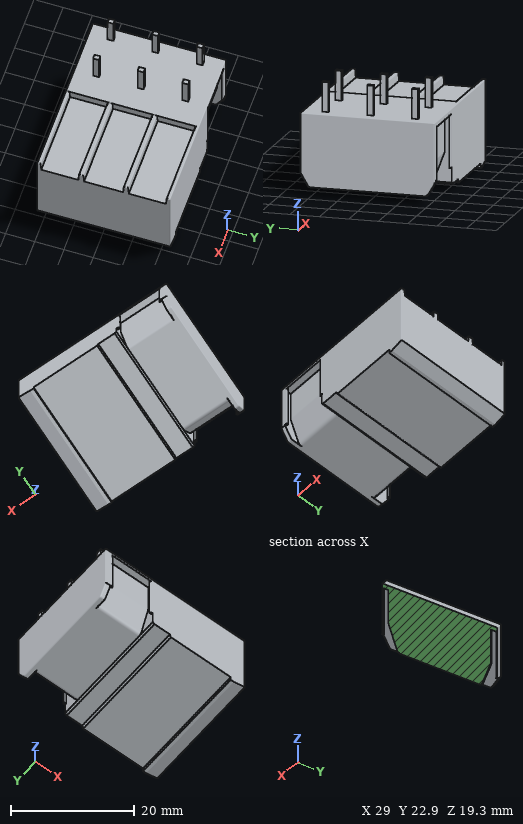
import cadquery as cq
import math

LENGTH = 29.0
WIDTH = 22.85
HEIGHT = 19.28
PIN_LENGTH = 5.0
BODY_TOP = HEIGHT - PIN_LENGTH
HALF_WIDTH = WIDTH / 2
EDGE_RADIUS = 0.2

HEAD_BOTTOM = 1.77
MIDDLE_BOTTOM = 1.42
TAIL_BOTTOM = 0.78
MIDDLE_START = 10.15
MIDDLE_END = 13.35
TAIL_START = 13.57
HOOK_START = 26.0
HOOK_TIP_END = 26.68
HOOK_HEEL_HEIGHT = 0.65

RECESS_START = 1.0
RECESS_END = 9.8
RECESS_TOP = 13.35
LIP_START = 1.5
LIP_END = 9.28
LIP_BOTTOM = 4.3
LIP_THICKNESS = 0.3

CORE_TOP_INSET = 1.25
CORE_BOTTOM_INSET = 3.13
CORE_KNEE_HEIGHT = 6.8
CORE_RADIUS = 0.75

CORNER_WIDTH = 1.42
CORNER_HEIGHT = 2.38
CORNER_RADIUS = 0.5

CHANNEL_START = 14.0
CHANNEL_DEPTH = 1.5
CHANNEL_DRAFT = 4.0
RIB_WIDTH = 0.4
MIDDLE_CHANNEL_WIDTH = 7.25
OUTER_CHANNEL_WIDTH = 6.93
OUTER_CHANNEL_Y = (MIDDLE_CHANNEL_WIDTH + OUTER_CHANNEL_WIDTH) / 2 + RIB_WIDTH

PIN_SIZE_X = 0.78
PIN_SIZE_Y = 1.02
PIN_FIRST_X = 1.95
PIN_PITCH_X = 7.48
PIN_PITCH_Y = 7.63
PIN_ROOT = 0.3


def box(x_range, y_range, z_range):
    """Axis-aligned block given by its limits."""
    size = [end - start for start, end in (x_range, y_range, z_range)]
    return (
        cq.Workplane("XY")
        .box(*size, centered=False)
        .translate((x_range[0], y_range[0], z_range[0]))
    )


def make_housing():
    """Block with the stepped underside and the hook at its far end."""
    outline = [
        (0, BODY_TOP),
        (0, HEAD_BOTTOM),
        (RECESS_END, HEAD_BOTTOM),
        (MIDDLE_START, MIDDLE_BOTTOM),
        (MIDDLE_END, MIDDLE_BOTTOM),
        (TAIL_START, TAIL_BOTTOM),
        (HOOK_START, TAIL_BOTTOM),
        (HOOK_START, 0),
        (HOOK_TIP_END, 0),
        (LENGTH, HOOK_HEEL_HEIGHT),
        (LENGTH, BODY_TOP),
    ]
    return cq.Workplane("XZ").polyline(outline).close().extrude(HALF_WIDTH, both=True)


def make_corner_cutter(side):
    """Wedge that cuts one lower corner off the end wall; side is +1 or -1."""
    outline = [
        (side * HALF_WIDTH, HEAD_BOTTOM),
        (side * HALF_WIDTH, HEAD_BOTTOM + CORNER_HEIGHT),
        (side * (HALF_WIDTH - CORNER_WIDTH), HEAD_BOTTOM),
    ]
    return cq.Workplane("YZ").polyline(outline).close().extrude(RECESS_START)


def make_core():
    """Web left standing between the two recesses."""
    top_half = HALF_WIDTH - CORE_TOP_INSET
    bottom_half = HALF_WIDTH - CORE_BOTTOM_INSET
    outline = [
        (-top_half, RECESS_TOP),
        (-top_half, CORE_KNEE_HEIGHT),
        (-bottom_half, HEAD_BOTTOM),
        (bottom_half, HEAD_BOTTOM),
        (top_half, CORE_KNEE_HEIGHT),
        (top_half, RECESS_TOP),
    ]
    core = (
        cq.Workplane("YZ", origin=(RECESS_START, 0, 0))
        .polyline(outline)
        .close()
        .extrude(RECESS_END - RECESS_START)
    )
    return core.edges("|X").edges("not >Z").fillet(CORE_RADIUS)


def make_channel_cutter(centre_y, width):
    """Drafted channel whose upper edges flare out in a quarter round."""
    half = width / 2
    wall = half - EDGE_RADIUS
    wall_top = BODY_TOP - EDGE_RADIUS
    floor = BODY_TOP - CHANNEL_DEPTH
    floor_half = wall - (wall_top - floor) * math.tan(math.radians(CHANNEL_DRAFT))
    arc_step = EDGE_RADIUS * math.sqrt(0.5)
    return (
        cq.Workplane("YZ", origin=(CHANNEL_START, centre_y, 0))
        .moveTo(-half, BODY_TOP)
        .threePointArc((-half + arc_step, wall_top + arc_step), (-wall, wall_top))
        .lineTo(-floor_half, floor)
        .lineTo(floor_half, floor)
        .lineTo(wall, wall_top)
        .threePointArc((half - arc_step, wall_top + arc_step), (half, BODY_TOP))
        .close()
        .extrude(LENGTH - CHANNEL_START)
    )


def make_pin(x, y):
    """Rectangular contact pin standing on the top face."""
    return (
        cq.Workplane("XY", origin=(x, y, BODY_TOP - PIN_ROOT))
        .rect(PIN_SIZE_X, PIN_SIZE_Y)
        .extrude(PIN_ROOT + PIN_LENGTH)
    )


full_width = (-HALF_WIDTH, HALF_WIDTH)
width_inside_lips = (-HALF_WIDTH + LIP_THICKNESS, HALF_WIDTH - LIP_THICKNESS)
recess_length = (RECESS_START, RECESS_END)
body = make_housing()
body = body.cut(box(recess_length, width_inside_lips, (HEAD_BOTTOM, RECESS_TOP)))
body = body.cut(box(recess_length, full_width, (HEAD_BOTTOM, LIP_BOTTOM)))
body = body.cut(box((LIP_START, LIP_END), full_width, (HEAD_BOTTOM, RECESS_TOP)))
for side in (-1, 1):
    body = body.cut(make_corner_cutter(side))

for side in (-1, 1):
    for lip_x in (LIP_START, LIP_END):
        edge_middle = (lip_x, side * HALF_WIDTH, (LIP_BOTTOM + RECESS_TOP) / 2)
        lip_edge = cq.selectors.NearestToPointSelector(edge_middle)
        body = body.edges("|Z").edges(lip_edge).fillet(EDGE_RADIUS)

corner_edges = cq.selectors.BoxSelector(
    (0, -HALF_WIDTH + EDGE_RADIUS, HEAD_BOTTOM - EDGE_RADIUS),
    (RECESS_START, HALF_WIDTH - EDGE_RADIUS, HEAD_BOTTOM + EDGE_RADIUS),
)
body = body.edges("|X").edges(corner_edges).fillet(CORNER_RADIUS)
near_end_and_top = body.faces("<X or >Z").edges()
far_corners = body.faces(">X").edges("|Z")
body = near_end_and_top.add(far_corners).fillet(EDGE_RADIUS)

body = body.union(make_core())
body = body.cut(make_channel_cutter(0, MIDDLE_CHANNEL_WIDTH))
for side in (-1, 1):
    body = body.cut(make_channel_cutter(side * OUTER_CHANNEL_Y, OUTER_CHANNEL_WIDTH))
for column in range(2):
    for row in (-1, 0, 1):
        body = body.union(make_pin(PIN_FIRST_X + column * PIN_PITCH_X, row * PIN_PITCH_Y))

result = body